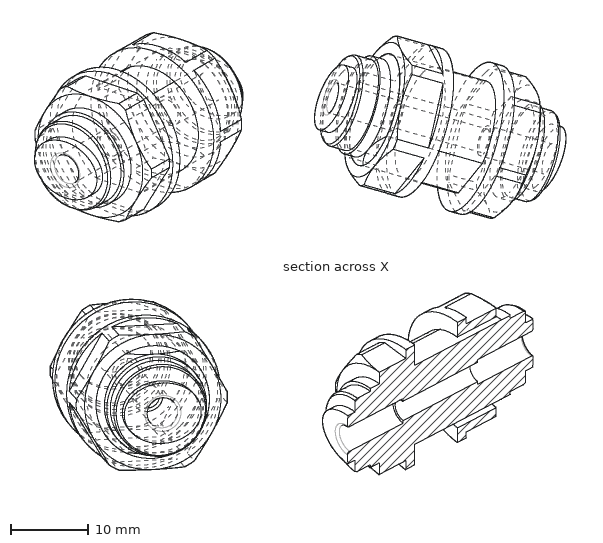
import cadquery as cq
import math

length = 31.4
half_length = length / 2
flange_radius = 10.0
flange_width = 1.5
body_radius = 7.5
body_half_flats = 6.6
thread_radius = 6.6
cap_radius = 6.12
cap_chamfer = 0.38
cap_chamfer_radial = 0.22

collet_length = 1.32
thread_end = half_length - 3.9
cone_end = half_length - 5.4
front_flange_y = -5.85
rear_flange_y = 2.9

front_nut_half_flats = 8.5
front_nut_corner_radius = 9.48
front_nut_height = 4.45
rear_nut_half_flats = 9.0
rear_nut_corner_radius = flange_radius
rear_nut_height = 5.02
nut_chamfer_angle = 30.0

collet_half_x = 5.1
collet_half_z = 4.02
collet_face_drop = 0.1

passage_radius = 1.57
socket_radius = 2.0
socket_depth = 9.42
mouth_round = 0.38
mouth_radius = socket_radius + mouth_round


def revolve_profile(points):
    """Turn a (radius, y) outline around the Y axis."""
    return cq.Workplane("XY").polyline(points).close().revolve(360, (0, 0, 0), (0, 1, 0))


def cylinder(radius, y_start, width):
    return revolve_profile(
        [(0, y_start), (radius, y_start), (radius, y_start + width), (0, y_start + width)]
    )


def flange_and_nut(flange_y, direction, half_flats, corner_radius, height):
    """Round flange with a hex nut on the side given by direction (+1 or -1 along Y)."""
    flange = cylinder(flange_radius, flange_y, flange_width)
    base = flange_y + (flange_width if direction > 0 else 0)
    top = base + direction * height
    chamfer_drop = (corner_radius - half_flats) * math.tan(math.radians(nut_chamfer_angle))
    envelope = revolve_profile([
        (0, base),
        (corner_radius, base),
        (corner_radius, top - direction * chamfer_drop),
        (half_flats, top),
        (0, top),
    ])
    hexagon = (
        cq.Workplane("XZ", origin=(0, base, 0))
        .polygon(6, 2 * half_flats / math.cos(math.pi / 6))
        .extrude(-direction * height)
    )
    return flange.union(hexagon.intersect(envelope))


def body():
    """Barrel with two flats and a rear cone, on a full-length threaded core."""
    cone_start = cone_end - (body_radius - thread_radius)
    barrel = revolve_profile([
        (0, front_flange_y),
        (body_radius, front_flange_y),
        (body_radius, cone_start),
        (thread_radius, cone_end),
        (0, cone_end),
    ])
    flats = cq.Workplane("XY").box(2 * body_radius, length, 2 * body_half_flats)
    core = cylinder(thread_radius, -thread_end, 2 * thread_end)
    return barrel.intersect(flats).union(core)


def caps():
    """Round caps at both ends with chamfered outer edges."""
    cap_end = half_length - collet_length
    shoulder = cap_end - cap_chamfer
    rim = cap_radius - cap_chamfer_radial
    return revolve_profile([
        (0, -cap_end),
        (rim, -cap_end),
        (cap_radius, -shoulder),
        (cap_radius, shoulder),
        (rim, cap_end),
        (0, cap_end),
    ])


def collet(direction):
    """Oval collet at the end given by direction, its face rising slightly to the bore mouth."""
    edge_y = half_length - collet_face_drop
    root_y = half_length - collet_length
    oval = cq.Workplane("XZ").ellipse(collet_half_x, collet_half_z)
    bar = oval.extrude(-edge_y).cut(cylinder(collet_half_x, 0, root_y))
    face = (
        cq.Workplane("XZ", origin=(0, edge_y, 0))
        .ellipse(collet_half_x, collet_half_z)
        .workplane(offset=-collet_face_drop)
        .circle(mouth_radius)
        .loft(ruled=True)
    )
    rear = bar.union(face)
    return rear if direction > 0 else rear.mirror("XZ")


def bore():
    """Narrow passage, tube sockets and rounded mouths."""
    cutter = cylinder(passage_radius, -half_length, length)
    mouth_start = half_length - mouth_round
    inset = mouth_round * (1 - math.sqrt(0.5))
    socket = (
        cq.Workplane("XY")
        .moveTo(0, half_length - socket_depth)
        .lineTo(socket_radius, half_length - socket_depth)
        .lineTo(socket_radius, mouth_start)
        .threePointArc((socket_radius + inset, half_length - inset), (mouth_radius, half_length))
        .lineTo(0, half_length)
        .close()
        .revolve(360, (0, 0, 0), (0, 1, 0))
    )
    return cutter.union(socket).union(socket.mirror("XZ"))


front_nut = flange_and_nut(
    front_flange_y, -1, front_nut_half_flats, front_nut_corner_radius, front_nut_height
)
rear_nut = flange_and_nut(
    rear_flange_y, 1, rear_nut_half_flats, rear_nut_corner_radius, rear_nut_height
)
nut_bore = cylinder(body_radius, 0, half_length)
rear_nut = rear_nut.cut(nut_bore)

result = body().union(front_nut).union(rear_nut).union(caps())
result = result.union(collet(1)).union(collet(-1)).cut(bore())